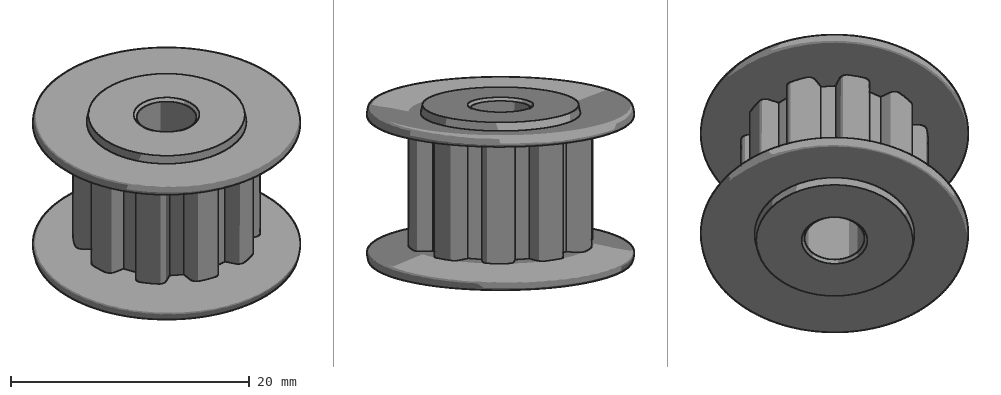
import cadquery as cq
import math

tooth_count = 10
tooth_tip_radius = 7.85
groove_depth = 1.4
groove_floor_width = 1.22
groove_flank_angle = 25.0
tooth_tip_fillet = 0.64
belt_width_space = 10.14

flange_thickness = 1.0
flange_cone_angle = 11.0
flange_edge_radius = 11.268
flange_edge_fillet = 0.3

overall_height = 13.55
hub_face_radius = 6.55
hub_root_radius = 6.7

bore_diameter = 5.0
bore_chamfer = 0.25

half_space = belt_width_space / 2
half_height = overall_height / 2


def make_groove():
    """Flat-bottomed tapered prism that cuts one belt groove on the +X side."""
    floor_radius = tooth_tip_radius - groove_depth
    cutter_depth = 2 * groove_depth
    half_floor = groove_floor_width / 2
    half_mouth = half_floor + cutter_depth * math.tan(math.radians(groove_flank_angle))
    mouth_radius = floor_radius + cutter_depth
    return (
        cq.Workplane("XY")
        .workplane(offset=-half_space)
        .polyline([
            (floor_radius, -half_floor),
            (mouth_radius, -half_mouth),
            (mouth_radius, half_mouth),
            (floor_radius, half_floor),
        ])
        .close()
        .extrude(belt_width_space)
    )


def make_toothed_body():
    """Cylinder with evenly spaced belt grooves and rounded tooth tips."""
    body = (
        cq.Workplane("XY")
        .workplane(offset=-half_space)
        .circle(tooth_tip_radius)
        .extrude(belt_width_space)
    )
    pitch_angle = 360.0 / tooth_count
    groove = make_groove()
    for index in range(tooth_count):
        angle = (index + 0.5) * pitch_angle
        body = body.cut(groove.rotate((0, 0, 0), (0, 0, 1), angle))

    mid_groove_radius = tooth_tip_radius - groove_depth / 2
    tip_edges = body.edges("|Z").filter(
        lambda edge: math.hypot(edge.Center().x, edge.Center().y) > mid_groove_radius
    )
    return tip_edges.fillet(tooth_tip_fillet)


def make_upper_flange():
    """Flat disc whose outer band rises as a cone with a square, rounded rim."""
    angle = math.radians(flange_cone_angle)
    inner_bend_radius = tooth_tip_radius - flange_thickness * math.tan(angle / 2)
    plate_top = half_space + flange_thickness
    edge_z = half_space + (flange_edge_radius - tooth_tip_radius) * math.tan(angle)
    rim_top_radius = flange_edge_radius - flange_thickness * math.sin(angle)
    rim_top_z = edge_z + flange_thickness * math.cos(angle)
    flange = (
        cq.Workplane("XZ")
        .moveTo(0, half_space)
        .lineTo(tooth_tip_radius, half_space)
        .lineTo(flange_edge_radius, edge_z)
        .lineTo(rim_top_radius, rim_top_z)
        .lineTo(inner_bend_radius, plate_top)
        .lineTo(0, plate_top)
        .close()
        .revolve(360, (0, 0), (0, 1))
    )
    rim_edges = flange.edges("%CIRCLE").filter(
        lambda edge: edge.radius() > (tooth_tip_radius + rim_top_radius) / 2
    )
    return rim_edges.fillet(flange_edge_fillet)


def make_upper_hub():
    """Slightly tapered boss on the flat centre of the upper flange."""
    plate_top = half_space + flange_thickness
    return (
        cq.Workplane("XZ")
        .moveTo(0, half_space)
        .lineTo(hub_root_radius, half_space)
        .lineTo(hub_root_radius, plate_top)
        .lineTo(hub_face_radius, half_height)
        .lineTo(0, half_height)
        .close()
        .revolve(360, (0, 0), (0, 1))
    )


def make_bore():
    """Through bore with a countersunk chamfer at both ends."""
    bore_radius = bore_diameter / 2
    mouth_radius = bore_radius + bore_chamfer
    chamfer_start = half_height - bore_chamfer
    return (
        cq.Workplane("XZ")
        .moveTo(0, -half_height)
        .lineTo(mouth_radius, -half_height)
        .lineTo(bore_radius, -chamfer_start)
        .lineTo(bore_radius, chamfer_start)
        .lineTo(mouth_radius, half_height)
        .lineTo(0, half_height)
        .close()
        .revolve(360, (0, 0), (0, 1))
    )


upper_end = make_upper_flange().union(make_upper_hub())
lower_end = upper_end.mirror("XY")
result = make_toothed_body().union(upper_end).union(lower_end).cut(make_bore())